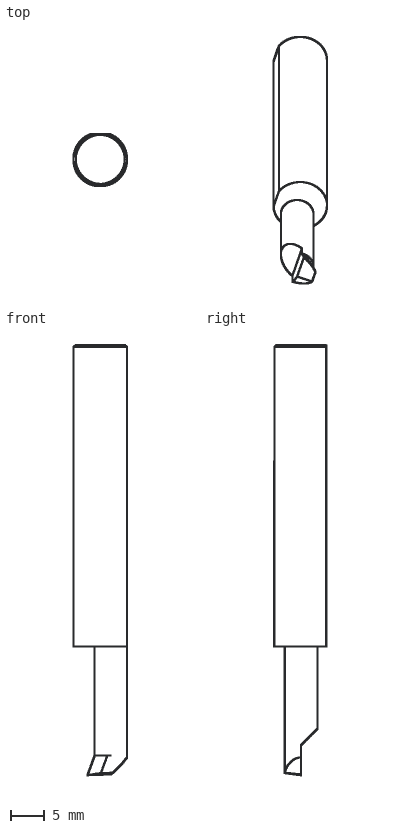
import cadquery as cq
import math

total_length = 63.49
reach = 19.0

shank_diameter = 7.94
shank_across_flat = 7.68
shank_chamfer = 0.35
shank_chamfer_height = 0.3

neck_diameter = 4.84
neck_center_x = (shank_diameter - neck_diameter) / 2

rake_face_height = 4.45
runout_angle = 45.0

tip_height = 2.95
tip_point_x = -1.9
edge_lean = 1.08
relief_width = 1.88
flank_bulge = 0.12

end_relief_angle = 6.0
end_clearance_angle = 2.0
heel_bevel_height = 2.65
heel_bevel_width = 2.55
heel_bulge = 0.12

shank_radius = shank_diameter / 2
neck_radius = neck_diameter / 2
margin = 2.0


def make_shank():
    shank = (
        cq.Workplane("XY")
        .workplane(offset=reach)
        .circle(shank_radius)
        .extrude(total_length - reach)
        .faces(">Z")
        .chamfer(shank_chamfer_height, shank_chamfer)
    )
    flat_y = shank_across_flat - shank_radius
    flat_cut = cq.Workplane("XY").box(
        shank_diameter, shank_diameter, total_length, centered=(True, False, False)
    )
    return shank.cut(flat_cut.translate((0, flat_y, 0)))


def make_neck():
    neck = cq.Workplane("XY").center(neck_center_x, 0).circle(neck_radius).extrude(reach)

    depth = neck_radius + margin
    runout_top = rake_face_height + depth * math.tan(math.radians(runout_angle))
    half_cut = (
        cq.Workplane("YZ")
        .polyline([(0, 0), (0, rake_face_height), (depth, runout_top), (depth, 0)])
        .close()
        .extrude(shank_diameter, both=True)
    )
    tip_space = cq.Workplane("XY").box(
        neck_diameter, neck_diameter, tip_height, centered=(True, True, False)
    )
    return neck.cut(half_cut).cut(tip_space.translate((neck_center_x - neck_radius, 0, 0)))


def tip_section(workplane, edge_x):
    """Section of the tip: rake face on Y = 0, curved flank, back face tangent to the neck."""
    back_x = edge_x + relief_width
    chord = math.hypot(relief_width, neck_radius)
    bulge_x = (edge_x + back_x) / 2 - flank_bulge * neck_radius / chord
    bulge_y = -neck_radius / 2 - flank_bulge * relief_width / chord
    return (
        workplane.moveTo(neck_center_x, 0)
        .lineTo(edge_x, 0)
        .threePointArc((bulge_x, bulge_y), (back_x, -neck_radius))
        .lineTo(neck_center_x, -neck_radius)
        .close()
    )


def make_tip():
    bottom = tip_section(cq.Workplane("XY"), tip_point_x)
    top = tip_section(bottom.workplane(offset=tip_height), tip_point_x + edge_lean)
    return top.loft(ruled=True)


def make_end_relief_cut():
    """Body below the tilted end face, which passes through the cutting point."""
    size = 2 * shank_diameter
    return (
        cq.Workplane("XY")
        .box(size, size, margin, centered=(True, True, False))
        .translate((0, 0, -margin))
        .rotate((0, 0, 0), (1, 0, 0), -end_relief_angle)
        .rotate((0, 0, 0), (0, 1, 0), -end_clearance_angle)
        .translate((tip_point_x, 0, 0))
    )


def make_heel_bevel_cut():
    """Body outside the slightly convex heel, which rises from the end to the +X side."""
    start_x = shank_radius - heel_bevel_width
    slant = math.hypot(heel_bevel_width, heel_bevel_height)
    bulge_x = shank_radius - heel_bevel_width / 2 + heel_bulge * heel_bevel_height / slant
    bulge_z = heel_bevel_height / 2 - heel_bulge * heel_bevel_width / slant
    return (
        cq.Workplane("XZ")
        .moveTo(start_x, -margin)
        .lineTo(start_x, 0)
        .threePointArc((bulge_x, bulge_z), (shank_radius, heel_bevel_height))
        .lineTo(shank_radius + margin, heel_bevel_height)
        .lineTo(shank_radius + margin, -margin)
        .close()
        .extrude(shank_diameter, both=True)
    )


result = (
    make_neck()
    .union(make_tip())
    .cut(make_end_relief_cut())
    .cut(make_heel_bevel_cut())
    .union(make_shank())
)